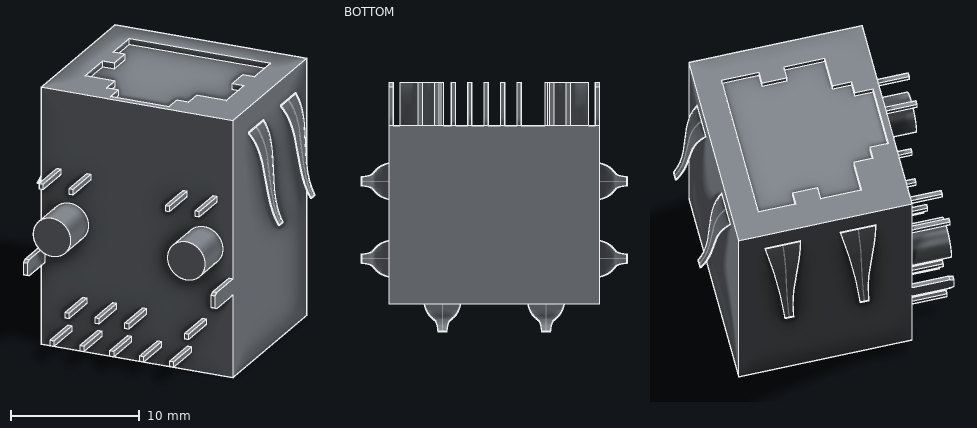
import cadquery as cq
import math

OVERALL_WIDTH = 20.65
OVERALL_DEPTH = 19.35
HEIGHT = 21.6
SPRING_REACH = 2.15
PIN_LENGTH = 3.35
BODY_WIDTH = OVERALL_WIDTH - 2 * SPRING_REACH
BODY_DEPTH = OVERALL_DEPTH - SPRING_REACH - PIN_LENGTH

OPENING_DEPTH = 0.5
OPENING_WIDTH = 12.03
OPENING_FRONT_Y = 1.99
OPENING_BACK_Y = 11.75
LUG_LENGTH = 1.0
LUG_FRONT_Y = 6.78
LUG_BACK_Y = 8.77
CORNER_BLOCK_LENGTH = 2.53
CORNER_BLOCK_BACK_Y = 3.52
LATCH_WIDTH = 4.97
LATCH_FRONT_Y = 0.52

PITCH = 2.55
PIN_WIDTH = 0.35
PIN_HEIGHT = 0.45
PEG_DIAMETER = 3.2
PEG_X = 5.72
PEG_Z = 10.67
LED_PIN_X = 4.1
LED_PIN_Z = 14.77
UPPER_ROW_Z = 4.32
LOWER_ROW_Z = 1.77
LOWER_ROW_SLOTS = range(5)
UPPER_ROW_SLOTS = (0, 1, 2, 4)

TAB_THICKNESS = 0.35
TAB_HEIGHT = 1.35
TAB_Z = 7.62
TAB_TIP_LENGTH = 0.35
TAB_TIP_INSET = 0.17

SPRING_THICKNESS = 0.09
SPRING_ROOT_Z = 19.52
SPRING_TIP_Z = 11.65
SPRING_ROOT_HALF_WIDTH = 1.42
SPRING_MIDDLE_HALF_WIDTH = 0.71
SPRING_TIP_HALF_WIDTH = 0.35
SPRING_UPPER_BEND = (0.95, 17.27)
SPRING_LOWER_BEND = (1.4, 13.82)
SPRING_EMBED = 0.22
SIDE_SPRING_Y = (4.32, 10.32)
BACK_SPRING_X = 4.02


def make_body():
    return cq.Workplane("XY").box(BODY_WIDTH, BODY_DEPTH, HEIGHT, centered=(True, False, False))


def slab(width, front_y, back_y, x=0):
    """Block of the opening's depth just below the top face, centred on x."""
    return (
        cq.Workplane("XY")
        .box(width, back_y - front_y, OPENING_DEPTH, centered=(True, False, False))
        .translate((x, front_y, HEIGHT - OPENING_DEPTH))
    )


def make_opening():
    opening = slab(OPENING_WIDTH, OPENING_FRONT_Y, OPENING_BACK_Y)
    for side in (-1, 1):
        lug_x = side * (OPENING_WIDTH - LUG_LENGTH) / 2
        block_x = side * (OPENING_WIDTH - CORNER_BLOCK_LENGTH) / 2
        opening = opening.cut(slab(LUG_LENGTH, LUG_FRONT_Y, LUG_BACK_Y, lug_x))
        opening = opening.cut(slab(CORNER_BLOCK_LENGTH, OPENING_FRONT_Y, CORNER_BLOCK_BACK_Y, block_x))
    return opening.union(slab(LATCH_WIDTH, LATCH_FRONT_Y, OPENING_FRONT_Y))


def board_face(points):
    """Workplane on the board face, facing -Y, with the given (x, z) points."""
    return cq.Workplane("XZ").pushPoints(points)


def make_pins():
    led_pins = [
        (side * x, LED_PIN_Z)
        for side in (-1, 1)
        for x in (LED_PIN_X, LED_PIN_X + PITCH)
    ]
    lower_row = [(-PEG_X + i * PITCH, LOWER_ROW_Z) for i in LOWER_ROW_SLOTS]
    upper_row = [(-PEG_X + (i + 0.5) * PITCH, UPPER_ROW_Z) for i in UPPER_ROW_SLOTS]
    return board_face(led_pins + lower_row + upper_row).rect(PIN_WIDTH, PIN_HEIGHT).extrude(PIN_LENGTH)


def make_pegs():
    return board_face([(-PEG_X, PEG_Z), (PEG_X, PEG_Z)]).circle(PEG_DIAMETER / 2).extrude(PIN_LENGTH)


def make_tabs():
    """Flat tabs whose tips narrow in height, one flush with each side wall."""
    half = TAB_HEIGHT / 2
    tip_half = half - TAB_TIP_INSET
    taper_y = TAB_TIP_LENGTH - PIN_LENGTH
    tab = (
        cq.Workplane("YZ", origin=(BODY_WIDTH / 2, 0, TAB_Z))
        .polyline([
            (0, -half),
            (taper_y, -half),
            (-PIN_LENGTH, -tip_half),
            (-PIN_LENGTH, tip_half),
            (taper_y, half),
            (0, half),
        ])
        .close()
        .extrude(-TAB_THICKNESS)
    )
    return tab.union(tab.mirror("YZ"))


def make_spring():
    """Spring for a wall on the plane X = 0, bulging towards +X and centred on Y = 0."""
    outer_curve = [
        (-SPRING_EMBED, SPRING_ROOT_Z + SPRING_EMBED),
        (0, SPRING_ROOT_Z),
        SPRING_UPPER_BEND,
        SPRING_LOWER_BEND,
        (SPRING_REACH, SPRING_TIP_Z),
    ]
    rise = SPRING_ROOT_Z - SPRING_TIP_Z
    chord = math.hypot(SPRING_REACH, rise)
    back_x = SPRING_THICKNESS * rise / chord
    back_z = SPRING_THICKNESS * SPRING_REACH / chord
    inner_curve = [(x - back_x, z - back_z) for x, z in reversed(outer_curve)]
    strip = (
        cq.Workplane("XZ")
        .moveTo(*outer_curve[0])
        .spline(outer_curve[1:], includeCurrent=True)
        .lineTo(*inner_curve[0])
        .spline(inner_curve[1:], includeCurrent=True)
        .close()
        .extrude(SPRING_ROOT_HALF_WIDTH, both=True)
    )

    top_z = SPRING_ROOT_Z + SPRING_EMBED
    bottom_z = SPRING_TIP_Z - SPRING_THICKNESS
    middle_z = (SPRING_ROOT_Z + bottom_z) / 2
    outline = (
        cq.Workplane("YZ", origin=(-2 * SPRING_EMBED, 0, 0))
        .moveTo(-SPRING_ROOT_HALF_WIDTH, top_z)
        .lineTo(SPRING_ROOT_HALF_WIDTH, top_z)
        .lineTo(SPRING_ROOT_HALF_WIDTH, SPRING_ROOT_Z)
        .threePointArc((SPRING_MIDDLE_HALF_WIDTH, middle_z), (SPRING_TIP_HALF_WIDTH, bottom_z))
        .lineTo(-SPRING_TIP_HALF_WIDTH, bottom_z)
        .threePointArc((-SPRING_MIDDLE_HALF_WIDTH, middle_z), (-SPRING_ROOT_HALF_WIDTH, SPRING_ROOT_Z))
        .close()
        .extrude(SPRING_REACH + 2 * SPRING_EMBED)
    )
    return strip.intersect(outline)


def place_springs():
    """Two springs on each side wall and two on the back wall."""
    right_spring = make_spring().translate((BODY_WIDTH / 2, 0, 0))
    back_spring = make_spring().rotate((0, 0, 0), (0, 0, 1), 90).translate((0, BODY_DEPTH, 0))
    placed = []
    for y in SIDE_SPRING_Y:
        spring = right_spring.translate((0, y, 0))
        placed += [spring, spring.mirror("YZ")]
    for x in (-BACK_SPRING_X, BACK_SPRING_X):
        placed.append(back_spring.translate((x, 0, 0)))
    return placed


result = make_body().cut(make_opening())
for feature in [make_pins(), make_pegs(), make_tabs(), *place_springs()]:
    result = result.union(feature)